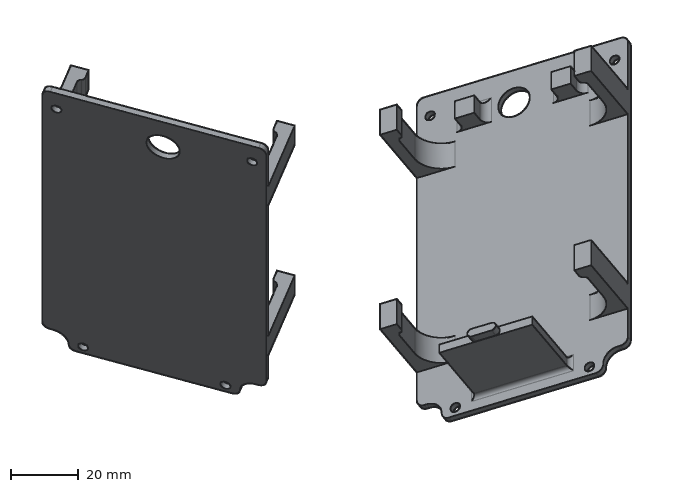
import cadquery as cq

plate_width = 69.9
plate_height = 120.6
plate_thickness = 2.0
corner_radius = 2.4
half_width = plate_width / 2

notch_width = 8.2
notch_height = 7.4
notch_radius = notch_height - corner_radius

screw_hole_diameter = 3.1
upper_hole_x = 30.5
upper_hole_z = 113.2
lower_hole_x = 22.2
lower_hole_z = 3.0
large_hole_diameter = 10.4
large_hole_x = 2.8
large_hole_z = 108.8

arm_depth = 26.1
arm_height = 9.3
arm_bottoms = (20.1, 91.7)
arm_thickness = 3.7
arm_root_radius = 8.8
lip_overhang = 1.8
lip_curve_depth = 2.4
lip_inner_y = 20.6
lip_curve_radius = (lip_overhang**2 + lip_curve_depth**2) / (4 * lip_overhang)

block_size = 6.4
block_depth = 8.3
block_center_x = 15.9
block_bottom = 104.1
block_fillet = 2.5

tab_width = 30.8
tab_thickness = 3.0
tab_bottom = 5.0
tab_depth = 26.0
tab_fillet = 1.5
peg_width = 9.4
peg_thickness = 2.8
peg_end = 28.7

search_margin = 0.1


def box(x_center, width, depth, z_bottom, height):
    """Box rising along Y from Y = 0, centred on x_center."""
    solid = cq.Workplane("XY").box(width, depth, height, centered=(True, False, False))
    return solid.translate((x_center, 0, z_bottom))


def make_plate():
    """Plate drawn as its left half, from the bottom centre up, then mirrored."""
    notch_x = -half_width + notch_width
    half_plate = (
        cq.Workplane("XZ")
        .lineTo(notch_x + corner_radius, 0)
        .radiusArc((notch_x, corner_radius), corner_radius)
        .radiusArc((notch_x - notch_radius, notch_height), -notch_radius)
        .lineTo(-half_width + corner_radius, notch_height)
        .radiusArc((-half_width, notch_height + corner_radius), corner_radius)
        .lineTo(-half_width, plate_height - corner_radius)
        .radiusArc((-half_width + corner_radius, plate_height), corner_radius)
        .lineTo(0, plate_height)
        .close()
        .extrude(-plate_thickness)
    )
    return half_plate.union(half_plate.mirror("YZ")).clean()


def make_left_arm(z_bottom):
    """Hooked arm with a concave root and a S-curved underside to its lip."""
    inner_x = -half_width + arm_thickness
    lip_x = inner_x + lip_overhang
    return (
        cq.Workplane("XY", origin=(0, 0, z_bottom))
        .moveTo(-half_width, 0)
        .lineTo(-half_width, arm_depth)
        .lineTo(lip_x, arm_depth)
        .lineTo(lip_x, lip_inner_y + lip_curve_depth)
        .radiusArc((inner_x + lip_overhang / 2, lip_inner_y + lip_curve_depth / 2), lip_curve_radius)
        .radiusArc((inner_x, lip_inner_y), -lip_curve_radius)
        .lineTo(inner_x, plate_thickness + arm_root_radius)
        .radiusArc((inner_x + arm_root_radius, plate_thickness), -arm_root_radius)
        .lineTo(inner_x + arm_root_radius, 0)
        .close()
        .extrude(arm_height)
    )


def drill(body, x, z, diameter):
    hole = cq.Workplane("XZ").center(x, z).circle(diameter / 2).extrude(-plate_thickness)
    return body.cut(hole)


result = make_plate()

for z_bottom in arm_bottoms:
    left_arm = make_left_arm(z_bottom)
    result = result.union(left_arm).union(left_arm.mirror("YZ"))

for side in (-1, 1):
    x_center = side * block_center_x
    result = result.union(box(x_center, block_size, block_depth, block_bottom, block_size))
    root_edges = cq.selectors.BoxSelector(
        (x_center - block_size, plate_thickness - search_margin, block_bottom + search_margin),
        (x_center + block_size, plate_thickness + search_margin, block_bottom + 2 * block_size),
    )
    result = result.edges(root_edges).fillet(block_fillet)

result = result.union(box(0, tab_width, tab_depth, tab_bottom, tab_thickness))
tab_root_edges = cq.selectors.BoxSelector(
    (-tab_width / 2 - search_margin, plate_thickness - search_margin, tab_bottom - search_margin),
    (tab_width / 2 + search_margin, plate_thickness + search_margin, tab_bottom + tab_thickness + search_margin),
)
result = result.edges(tab_root_edges).fillet(tab_fillet)

peg = (
    cq.Workplane("XZ", origin=(0, tab_depth, tab_bottom + tab_thickness / 2))
    .slot2D(peg_width, peg_thickness)
    .extrude(tab_depth - peg_end)
)
result = result.union(peg)

for side in (-1, 1):
    result = drill(result, side * upper_hole_x, upper_hole_z, screw_hole_diameter)
    result = drill(result, side * lower_hole_x, lower_hole_z, screw_hole_diameter)
result = drill(result, large_hole_x, large_hole_z, large_hole_diameter)